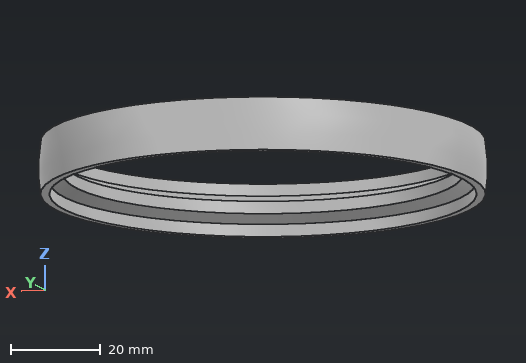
import cadquery as cq

outer_diameter = 99.9
height = 12.0
crown = 0.5
bore_radius = 47.5
rib_radius = 44.5
bore_depth = 2.8
crest_height = 2.8

outer_radius = outer_diameter / 2
edge_radius = outer_radius - crown
middle = height / 2
crest_bottom = middle - crest_height / 2
crest_top = middle + crest_height / 2

section = (
    cq.Workplane("XZ")
    .moveTo(bore_radius, 0)
    .lineTo(edge_radius, 0)
    .threePointArc((outer_radius, middle), (edge_radius, height))
    .lineTo(bore_radius, height)
    .lineTo(bore_radius, height - bore_depth)
    .lineTo(rib_radius, crest_top)
    .lineTo(rib_radius, crest_bottom)
    .lineTo(bore_radius, bore_depth)
    .close()
)

result = section.revolve(360, (0, 0, 0), (0, 1, 0))